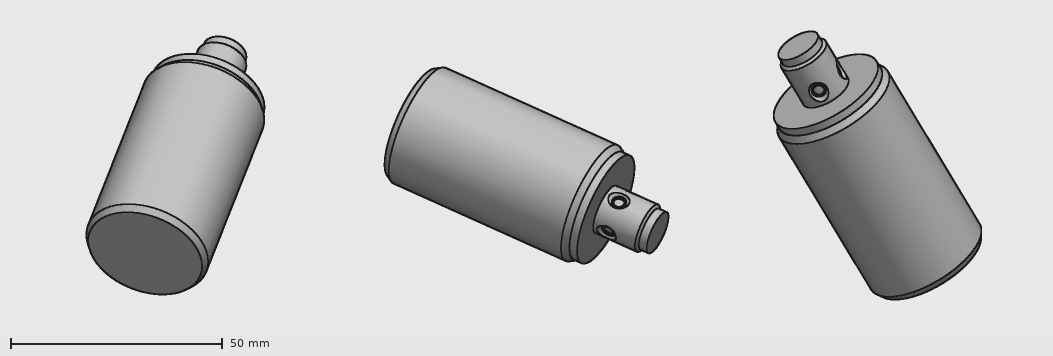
import cadquery as cq

total_length = 66.0
body_radius = 30.0 / 2
body_length = 49.95
bevel_length = 1.7
bevel_depth = 1.0

collar_radius = 27.9 / 2
collar_length = 2.05
stem_radius = 12.3 / 2
tip_radius = 10.7 / 2
tip_length = 2.1
stem_bevel_length = 0.6

hole_count = 4
hole_from_tip = 10.4
countersink_radius = 2.65
countersink_floor_radius = 1.7
pilot_radius = 1.3
core_radius = 4.9
core_half_length = 3.3

front_y = -total_length / 2
tip_y = total_length / 2
body_back_y = front_y + body_length
collar_back_y = body_back_y + collar_length
stem_end_y = tip_y - tip_length
bevel_radius = body_radius - bevel_depth


def make_turned_body():
    """Revolve the half section (radius, y) about the Y axis."""
    section = [
        (0, front_y),
        (bevel_radius, front_y),
        (body_radius, front_y + bevel_length),
        (body_radius, body_back_y - bevel_length),
        (bevel_radius, body_back_y),
        (collar_radius, body_back_y),
        (collar_radius, collar_back_y),
        (stem_radius, collar_back_y),
        (stem_radius, stem_end_y - stem_bevel_length),
        (tip_radius, stem_end_y),
        (tip_radius, tip_y),
        (0, tip_y),
    ]
    return cq.Workplane("XY").polyline(section).close().revolve(360, (0, 0), (0, 1))


def make_hole_cutter():
    """45 degree countersink entering from +Z, with a pilot hole ending on a round core."""
    countersink_floor_height = stem_radius - (countersink_radius - countersink_floor_radius)
    profile = [
        (0, countersink_floor_height),
        (countersink_floor_radius, countersink_floor_height),
        (countersink_radius, stem_radius),
        (0, stem_radius),
    ]
    countersink = cq.Workplane("XZ").polyline(profile).close().revolve(360, (0, 0), (0, 1))
    pilot = cq.Workplane("XY").circle(pilot_radius).extrude(stem_radius)
    core = cq.Workplane("XZ").circle(core_radius).extrude(core_half_length, both=True)
    cutter = countersink.union(pilot.cut(core))
    return cutter.translate((0, tip_y - hole_from_tip, 0))


result = make_turned_body()
hole_cutter = make_hole_cutter()
for index in range(hole_count):
    angle = index * 360 / hole_count
    result = result.cut(hole_cutter.rotate((0, 0, 0), (0, 1, 0), angle))